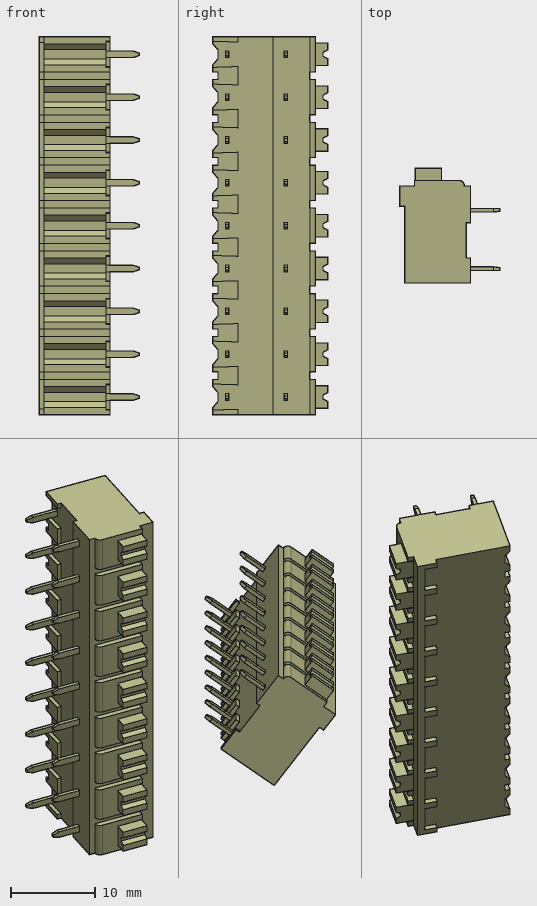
import cadquery as cq

pole_count = 9
pole_pitch = 5.08
pole_height = 4.2
gap_height = pole_pitch - pole_height
total_height = (pole_count - 1) * pole_pitch + pole_height
pole_centers = [pole_height / 2 + i * pole_pitch for i in range(pole_count)]
gap_centers = [z + pole_pitch / 2 for z in pole_centers[:-1]]

lip_depth = 0.6
housing_right = 8.42
shoulder_y = 11.53
lip_bottom_y = 9.1
ridge_left = 1.75
ridge_right = 7.7
ridge_top_y = 12.2
ridge_radius = ridge_top_y - shoulder_y

panel_top_y = 10.6
end_rib_height = 0.7

mounting_recess_depth = 0.5
mounting_floor_x = housing_right - mounting_recess_depth
mounting_recess_y = (3.0, 7.15)
pin_pocket_mouth_height = 3.1
pin_pocket_floor_height = 2.9

groove_depth = 0.6
groove_mouth_height = 2.5
groove_floor_height = 1.1

latch_left = 1.85
latch_right = 5.0
latch_top_y = 13.65
latch_height = 2.7
latch_notch_depth = 0.55
latch_notch_mouth = 1.05
latch_notch_floor = 0.45

pin_end_x = 11.9
pin_width = 0.8
pin_thickness = 0.46
pin_tip_length = 0.75
pin_tip_width = 0.3
pin_tip_thickness = 0.36
pin_embed = 0.5
front_row_y = 1.73
back_row_y = 8.66


def block(x_range, y_range, z_range):
    """Box spanning the given ranges along the three axes."""
    (x0, x1), (y0, y1), (z0, z1) = x_range, y_range, z_range
    return cq.Workplane("XY").box(x1 - x0, y1 - y0, z1 - z0, centered=False).translate((x0, y0, z0))


def span(center, size):
    """Range of a given size around a center."""
    return center - size / 2, center + size / 2


def trapezoid_prism(x_range, mouth_y, floor_y, z, mouth, floor):
    """Prism along X whose Z width changes from the mouth to the floor."""
    return (
        cq.Workplane("YZ", origin=(x_range[0], 0, z))
        .moveTo(mouth_y, -mouth / 2)
        .lineTo(floor_y, -floor / 2)
        .lineTo(floor_y, floor / 2)
        .lineTo(mouth_y, mouth / 2)
        .close()
        .extrude(x_range[1] - x_range[0])
    )


def make_housing():
    """Full-height section with the lip, shoulder, rounded ridge and mounting recess."""
    recess_start, recess_end = mounting_recess_y
    return (
        cq.Workplane("XY")
        .moveTo(lip_depth, 0)
        .lineTo(housing_right, 0)
        .lineTo(housing_right, recess_start)
        .lineTo(mounting_floor_x, recess_start)
        .lineTo(mounting_floor_x, recess_end)
        .lineTo(housing_right, recess_end)
        .lineTo(housing_right, shoulder_y)
        .lineTo(ridge_right, shoulder_y)
        .radiusArc((ridge_right - ridge_radius, ridge_top_y), -ridge_radius)
        .lineTo(ridge_left, ridge_top_y)
        .lineTo(ridge_left, shoulder_y)
        .lineTo(0, shoulder_y)
        .lineTo(0, lip_bottom_y)
        .lineTo(lip_depth, lip_bottom_y)
        .close()
        .extrude(total_height)
    )


def cut_pole_gaps(body):
    """Slots between neighbouring poles, across the front face and the ridge."""
    for z in gap_centers:
        z_range = span(z, gap_height)
        body = body.cut(block((0, housing_right), (0, groove_depth), z_range))
        body = body.cut(block((0, housing_right), (shoulder_y, ridge_top_y), z_range))
    return body


def cut_lip_panels(body):
    """Panels that leave a comb of ribs hanging from the lip, with a rib at each end."""
    for z in pole_centers:
        bottom, top = span(z, pole_height)
        bottom = max(bottom, end_rib_height)
        top = min(top, total_height - end_rib_height)
        body = body.cut(block((0, lip_depth), (lip_bottom_y, panel_top_y), (bottom, top)))
    return body


def cut_front_groove(body, z):
    """Flared groove along X in the front face, and the drafted pin pocket at its mounting end."""
    groove = trapezoid_prism(
        (0, housing_right), 0, groove_depth, z, groove_mouth_height, groove_floor_height
    )
    pocket = trapezoid_prism(
        (mounting_floor_x, housing_right), 0, mounting_recess_y[0], z,
        pin_pocket_mouth_height, pin_pocket_floor_height,
    )
    return body.cut(groove).cut(pocket)


def add_latch(body, z):
    """Notched latch standing on the ridge, set slightly back from the ridge face."""
    z_range = span(z, latch_height)
    setback = block((ridge_left, latch_left), (shoulder_y, ridge_top_y), z_range)
    latch = block((latch_left, latch_right), (shoulder_y, latch_top_y), z_range)
    notch = trapezoid_prism(
        (latch_left, latch_right), latch_top_y, latch_top_y - latch_notch_depth, z,
        latch_notch_mouth, latch_notch_floor,
    )
    return body.cut(setback).union(latch.cut(notch))


def make_pin(y, z, thinned_side):
    """Flat solder pin rooted inside the housing, its tip thinned on the +Y (1) or -Y (-1) side."""
    root_x = mounting_floor_x - pin_embed
    taper_x = pin_end_x - pin_tip_length
    shank = block((root_x, taper_x), span(y, pin_thickness), span(z, pin_width))
    tip = (
        cq.Workplane("YZ", origin=(taper_x, y, z))
        .rect(pin_thickness, pin_width)
        .workplane(offset=pin_tip_length)
        .center(-thinned_side * (pin_thickness - pin_tip_thickness) / 2, 0)
        .rect(pin_tip_thickness, pin_tip_width)
        .loft(ruled=True)
    )
    return shank.union(tip)


result = cut_lip_panels(cut_pole_gaps(make_housing()))
for pole_z in pole_centers:
    result = cut_front_groove(result, pole_z)
    result = add_latch(result, pole_z)
    result = result.union(make_pin(front_row_y, pole_z, 1))
    result = result.union(make_pin(back_row_y, pole_z, -1))